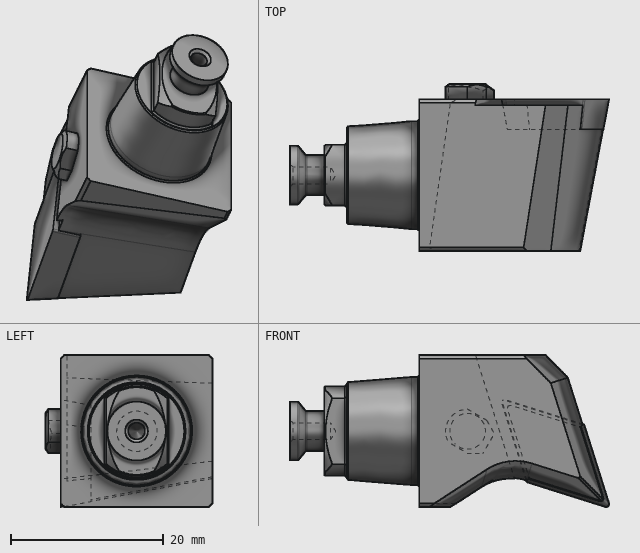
import cadquery as cq
import math

BLOCK = 20.0
HALF = BLOCK / 2
BLOCK_CHAMFER = 0.5
RELIEF_ANGLE = 7.0
RELIEF = math.tan(math.radians(RELIEF_ANGLE))

TIP_ANGLE = 55.0
INSCRIBED_DIAMETER = 9.525
INSERT_EDGE = INSCRIBED_DIAMETER / math.sin(math.radians(TIP_ANGLE))
INSERT_THICKNESS = 3.97
NOSE_RADIUS = 0.4
TIP_REACH_X = 25.0
TIP_REACH_Z = -HALF
EDGE_TILT = (90.0 - TIP_ANGLE) / 2

FLANK_CLEARANCE = 0.1
NOSE_FLAT_SETBACK = 0.3
TOP_BEVEL_START_X = 16.75
TOP_BEVEL_DROP = 2.95
BELLY_START_X = 4.15
BELLY_ANGLE = 33.0
BELLY_RADIUS = 7.0

RECESS_DEPTH = 0.8
RECESS_TOP_X = 7.4

SHANK_LENGTH = 9.5
SHANK_COLLAR_LENGTH = 1.0
SHANK_LARGE_RADIUS = 7.12
SHANK_ROOT_FLARE = 0.2
SHANK_SMALL_RADIUS = 6.45
SHANK_CHAMFER = 0.2

STUD_LENGTH = 7.5
KNOB_RADIUS = 3.87
KNOB_RIM = 1.1
KNOB_CONE_LENGTH = 1.0
NECK_RADIUS = 2.65
KNOB_FILLET = 0.3
COLLAR_RADIUS = 5.9
COLLAR_LENGTH = 3.0
COLLAR_CHAMFER = 0.15
COLLAR_FLARE = 0.25
FLATS_HALF_WIDTH = 4.0
LEAD_IN_OFFSET = 6.3
LEAD_IN_RADIUS = 10.1
BORE_RADIUS = 1.1
BORE_DEPTH = 6.0
BORE_POINT_ANGLE = 118.0
COUNTERSINK_RADIUS = 1.5

NOZZLE_X = 6.35
NOZZLE_HEIGHT = 2.0
NOZZLE_RADIUS = 2.9
NOZZLE_AIM = -30.0
NOZZLE_SIDE_ANGLE = 30.0
NOZZLE_FRONT = 3.2
NOZZLE_TOP_RADIUS = 2.35
NOZZLE_CHAMFER_ANGLE = 36.0


def direction(degrees):
    """Unit vector in the XZ plane, held as (x, z), turned from +X towards +Z."""
    return cq.Vector(math.cos(math.radians(degrees)), math.sin(math.radians(degrees)))


def crossing(point_a, dir_a, point_b, dir_b):
    """Point where two lines of the XZ plane meet."""
    gap = point_b - point_a
    cross = dir_a.x * dir_b.y - dir_a.y * dir_b.x
    return point_a + dir_a * ((gap.x * dir_b.y - gap.y * dir_b.x) / cross)


def xz_plane(y):
    """Sketch plane with local x = X and local y = Z; its normal points to -Y."""
    return cq.Workplane("XZ", origin=(0, y, 0))


def turned(profile):
    """Solid of revolution about X from (x, radius) points."""
    return cq.Workplane("XZ").polyline(profile).close().revolve(360, (0, 0, 0), (1, 0, 0))


def pairs(points):
    """Plain coordinate pairs of the given vectors."""
    return [(p.x, p.y) for p in points]


FRONT_EDGE = direction(90 + EDGE_TILT)
LOWER_EDGE = direction(180 - EDGE_TILT)
FRONT_NORMAL = direction(EDGE_TILT)
LOWER_NORMAL = direction(270 - EDGE_TILT)
NOSE_BISECTOR = direction(135)

NOSE_CENTRE = cq.Vector(TIP_REACH_X - NOSE_RADIUS, TIP_REACH_Z + NOSE_RADIUS)
SHARP_TIP = NOSE_CENTRE - NOSE_BISECTOR * (NOSE_RADIUS / math.sin(math.radians(TIP_ANGLE / 2)))


def make_insert():
    front_corner = SHARP_TIP + FRONT_EDGE * INSERT_EDGE
    lower_corner = SHARP_TIP + LOWER_EDGE * INSERT_EDGE
    back_corner = front_corner + LOWER_EDGE * INSERT_EDGE
    corners = pairs([SHARP_TIP, front_corner, back_corner, lower_corner])
    blank = xz_plane(HALF).polyline(corners).close().extrude(INSERT_THICKNESS, taper=RELIEF_ANGLE)
    return blank.edges("not(<Y or >Y)").fillet(NOSE_RADIUS)


def head_outline(y, inset):
    """Closed outline of the head at height y, its relieved edges moved inwards by inset."""
    flank_inset = inset + FLANK_CLEARANCE
    front_point = SHARP_TIP - FRONT_NORMAL * flank_inset
    lower_point = SHARP_TIP - LOWER_NORMAL * flank_inset
    nose = crossing(front_point, FRONT_EDGE, lower_point, LOWER_EDGE)
    nose_run = NOSE_FLAT_SETBACK / math.cos(math.radians(TIP_ANGLE / 2))
    nose_upper = nose + FRONT_EDGE * nose_run
    nose_lower = nose + LOWER_EDGE * nose_run

    bevel_start = cq.Vector(TOP_BEVEL_START_X, HALF)
    bevel_level = cq.Vector(0, HALF - TOP_BEVEL_DROP)
    outer_front = SHARP_TIP - FRONT_NORMAL * FLANK_CLEARANCE
    bevel_dir = (crossing(outer_front, FRONT_EDGE, bevel_level, direction(0)) - bevel_start).normalized()
    bevel_point = bevel_start - FRONT_NORMAL * inset
    bevel_top = crossing(bevel_point, bevel_dir, bevel_start, direction(0))
    bevel_end = crossing(bevel_point, bevel_dir, front_point, FRONT_EDGE)

    belly_dir = direction(BELLY_ANGLE)
    belly_up = direction(BELLY_ANGLE + 90)
    belly_point = cq.Vector(BELLY_START_X, -HALF) - LOWER_NORMAL * inset
    belly_start = crossing(belly_point, belly_dir, cq.Vector(0, -HALF), direction(0))
    belly_offset = belly_point - belly_up * BELLY_RADIUS
    lower_offset = lower_point + LOWER_NORMAL * BELLY_RADIUS
    centre = crossing(belly_offset, belly_dir, lower_offset, LOWER_EDGE)
    arc_start = centre + belly_up * BELLY_RADIUS
    arc_end = centre - LOWER_NORMAL * BELLY_RADIUS
    arc_middle = centre + (belly_up - LOWER_NORMAL).normalized() * BELLY_RADIUS

    return (
        xz_plane(y)
        .moveTo(0, HALF)
        .lineTo(bevel_top.x, bevel_top.y)
        .lineTo(bevel_end.x, bevel_end.y)
        .lineTo(nose_upper.x, nose_upper.y)
        .lineTo(nose_lower.x, nose_lower.y)
        .lineTo(arc_end.x, arc_end.y)
        .threePointArc((arc_middle.x, arc_middle.y), (arc_start.x, arc_start.y))
        .lineTo(belly_start.x, belly_start.y)
        .lineTo(0, -HALF)
        .close()
        .val()
    )


def make_block():
    near = head_outline(HALF, 0)
    far = head_outline(-HALF, BLOCK * RELIEF)
    flanked = cq.Workplane(cq.Solid.makeLoft([near, far], True))
    bar = cq.Workplane("YZ").rect(BLOCK, BLOCK).extrude(TIP_REACH_X)
    return flanked.intersect(bar.edges("|X").chamfer(BLOCK_CHAMFER))


def make_recess():
    """Shallow step in front of a wall that runs parallel to the front cutting edge."""
    wall_top = cq.Vector(RECESS_TOP_X, HALF)
    wall_bottom = crossing(wall_top, FRONT_EDGE, cq.Vector(0, -HALF), direction(0))
    corners = [(wall_top.x, HALF), (TIP_REACH_X, HALF), (TIP_REACH_X, -HALF), (wall_bottom.x, -HALF)]
    return xz_plane(HALF).polyline(corners).close().extrude(RECESS_DEPTH)


def make_shank():
    profile = [
        (0, 0),
        (0, SHANK_LARGE_RADIUS + SHANK_ROOT_FLARE),
        (-SHANK_ROOT_FLARE, SHANK_LARGE_RADIUS),
        (-SHANK_COLLAR_LENGTH, SHANK_LARGE_RADIUS),
        (SHANK_CHAMFER - SHANK_LENGTH, SHANK_SMALL_RADIUS),
        (-SHANK_LENGTH, SHANK_SMALL_RADIUS - SHANK_CHAMFER),
        (-SHANK_LENGTH, 0),
    ]
    return turned(profile)


STUD_END = -SHANK_LENGTH
COLLAR_END = STUD_END - COLLAR_LENGTH
KNOB_END = STUD_END - STUD_LENGTH


def make_stud_blank():
    knob_cone_start = KNOB_END + KNOB_RIM
    knob_cone_end = knob_cone_start + KNOB_CONE_LENGTH
    neck_profile = [
        (KNOB_END, 0),
        (KNOB_END, KNOB_RADIUS),
        (knob_cone_start, KNOB_RADIUS),
        (knob_cone_end, NECK_RADIUS),
        (COLLAR_END, NECK_RADIUS),
        (COLLAR_END, 0),
    ]
    neck = turned(neck_profile)
    for edge_x in (knob_cone_start, knob_cone_end):
        near_edge = cq.selectors.BoxSelector(
            (edge_x - KNOB_FILLET, -KNOB_RADIUS, -KNOB_RADIUS),
            (edge_x + KNOB_FILLET, KNOB_RADIUS, KNOB_RADIUS),
        )
        neck = neck.edges("%CIRCLE").edges(near_edge).fillet(KNOB_FILLET)
    collar_profile = [
        (COLLAR_END, 0),
        (COLLAR_END, COLLAR_RADIUS - COLLAR_CHAMFER),
        (COLLAR_END + COLLAR_CHAMFER, COLLAR_RADIUS),
        (STUD_END - COLLAR_FLARE, COLLAR_RADIUS),
        (STUD_END, COLLAR_RADIUS + COLLAR_FLARE),
        (STUD_END, 0),
    ]
    return neck.union(turned(collar_profile))


def make_flat_cut(side):
    """Cutter for the wrench flat on the +Y (side = 1) or -Y (side = -1) flank of the collar."""
    outside = side * (COLLAR_RADIUS + COLLAR_FLARE)
    flat = side * FLATS_HALF_WIDTH
    profile = [
        (COLLAR_END, outside),
        (COLLAR_END, flat),
        (STUD_END - COLLAR_FLARE, flat),
        (STUD_END, flat + side * COLLAR_FLARE),
        (STUD_END, outside),
    ]
    return cq.Workplane("XY").polyline(profile).close().extrude(abs(outside), both=True)


def make_lead_in(side):
    """Envelope of the stud: a cone that bevels the front of one flat, plus room for the neck."""
    axis = cq.Vector(COLLAR_END, -side * LEAD_IN_OFFSET, 0)
    cone = cq.Solid.makeCone(
        LEAD_IN_RADIUS, LEAD_IN_RADIUS + COLLAR_LENGTH, COLLAR_LENGTH, axis, cq.Vector(1, 0, 0)
    )
    neck_section = cq.Workplane("YZ", origin=(KNOB_END, 0, 0)).circle(COLLAR_RADIUS)
    neck_room = neck_section.extrude(STUD_LENGTH - COLLAR_LENGTH)
    return neck_room.union(cq.Workplane(cone))


def make_bore():
    point_length = BORE_RADIUS / math.tan(math.radians(BORE_POINT_ANGLE / 2))
    profile = [
        (KNOB_END, 0),
        (KNOB_END, COUNTERSINK_RADIUS),
        (KNOB_END + COUNTERSINK_RADIUS - BORE_RADIUS, BORE_RADIUS),
        (KNOB_END + BORE_DEPTH - point_length, BORE_RADIUS),
        (KNOB_END + BORE_DEPTH, 0),
    ]
    return turned(profile)


def make_pull_stud():
    stud = make_stud_blank()
    for side in (1, -1):
        stud = stud.cut(make_flat_cut(side)).intersect(make_lead_in(side))
    return stud.cut(make_bore())


def make_nozzle():
    """Round at the back with two parallel flats and a blunt front with two bevels."""
    side_angle = math.radians(NOZZLE_SIDE_ANGLE)
    flat_v = NOZZLE_RADIUS * math.cos(side_angle)
    flat_u = NOZZLE_RADIUS * math.sin(side_angle)
    front_v = flat_v - (NOZZLE_FRONT - flat_u) * math.tan(side_angle)
    plane = cq.Plane(
        origin=(NOZZLE_X, HALF, 0),
        xDir=(math.cos(math.radians(NOZZLE_AIM)), 0, math.sin(math.radians(NOZZLE_AIM))),
        normal=(0, 1, 0),
    )
    body = (
        cq.Workplane(plane)
        .moveTo(-flat_u, flat_v)
        .lineTo(flat_u, flat_v)
        .lineTo(NOZZLE_FRONT, front_v)
        .lineTo(NOZZLE_FRONT, -front_v)
        .lineTo(flat_u, -flat_v)
        .lineTo(-flat_u, -flat_v)
        .threePointArc((-NOZZLE_RADIUS, 0), (-flat_u, flat_v))
        .close()
        .extrude(NOZZLE_HEIGHT)
    )
    base_radius = NOZZLE_TOP_RADIUS + NOZZLE_HEIGHT / math.tan(math.radians(NOZZLE_CHAMFER_ANGLE))
    chamfer_cone = cq.Solid.makeCone(
        base_radius, NOZZLE_TOP_RADIUS, NOZZLE_HEIGHT, cq.Vector(NOZZLE_X, HALF, 0), cq.Vector(0, 1, 0)
    )
    return body.intersect(cq.Workplane(chamfer_cone))


insert = make_insert()
head = make_block().cut(make_recess()).union(make_shank()).cut(insert)
pull_stud = make_pull_stud()
nozzle = make_nozzle()

result = cq.Compound.makeCompound([head.val(), insert.val(), pull_stud.val(), nozzle.val()])